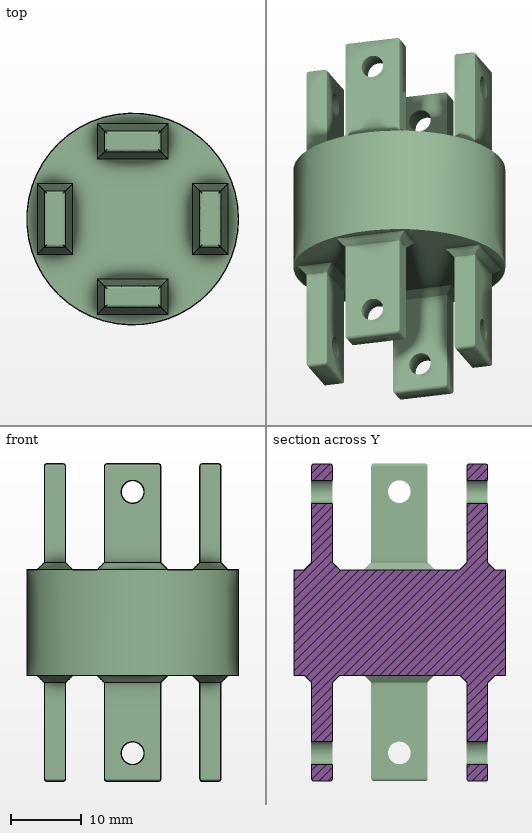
import cadquery as cq

body_diameter = 30.0
body_height = 15.0

blade_count = 4
blade_width = 8.0
blade_thickness = 3.0
blade_length = 15.0
blade_radius = 11.0
tip_fillet = 0.4

collar_size = 1.0

hole_diameter = 3.2
hole_to_tip = 4.0

face_z = body_height / 2
tip_z = face_z + blade_length
hole_z = tip_z - hole_to_tip


def make_body():
    return cq.Workplane("XY", origin=(0, 0, -face_z)).circle(body_diameter / 2).extrude(body_height)


def make_blade():
    """Blade on the upper face at the +X side, with its thickness along X."""
    blade = (
        cq.Workplane("XY", origin=(blade_radius, 0, face_z))
        .rect(blade_thickness, blade_width)
        .extrude(blade_length)
        .faces(">Z")
        .fillet(tip_fillet)
    )
    collar = (
        cq.Workplane("XY", origin=(blade_radius, 0, face_z))
        .rect(blade_thickness + 2 * collar_size, blade_width + 2 * collar_size)
        .workplane(offset=collar_size)
        .rect(blade_thickness, blade_width)
        .loft(ruled=True)
    )
    hole = (
        cq.Workplane("YZ", origin=(blade_radius - blade_thickness / 2, 0, hole_z))
        .circle(hole_diameter / 2)
        .extrude(blade_thickness)
    )
    return blade.union(collar).cut(hole)


result = make_body()
upper_blade = make_blade()
lower_blade = upper_blade.mirror("XY")
for index in range(blade_count):
    angle = index * 360 / blade_count
    for blade in (upper_blade, lower_blade):
        result = result.union(blade.rotate((0, 0, 0), (0, 0, 1), angle))